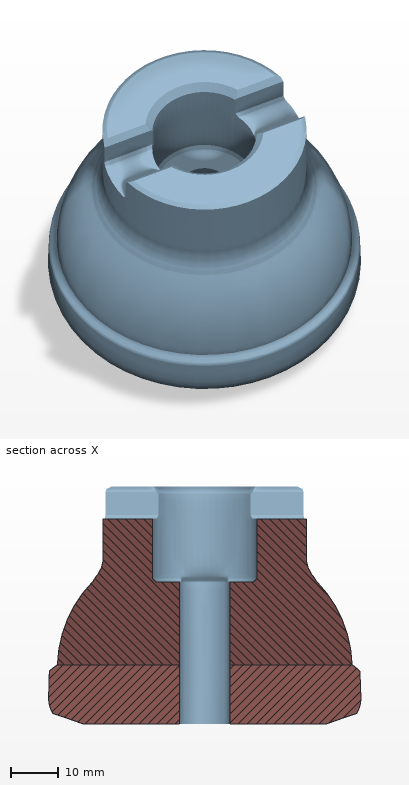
import cadquery as cq
import math

height = 50.0
split_z = 12.5

ring_radius = 33.0
ring_widest_z = 5.5
ring_bottom_radius = 25.7
ring_edge_radius = 32.1
ring_edge_z = 2.2
ring_round_mid_radius = 32.75
ring_round_mid_z = 3.7
ring_shoulder_radius = 32.8
ring_shoulder_z = 11.2
ring_shoulder_fillet = 0.8

dome_base_radius = 31.15
dome_mid_radius = 29.45
dome_mid_z = 21.0
dome_top_radius = 23.6
dome_top_z = 30.1
neck_radius = 43.0 / 2
neck_bottom_z = 35.0
neck_fillet = 6.0
neck_fillet_end_z = 31.0
rim_chamfer_width = 0.95
rim_chamfer_height = 0.5

bore_radius = 22.01 / 2
bore_depth = 20.0
bore_mouth_chamfer = 1.5
bore_floor_chamfer = 0.65
screw_hole_radius = 10.5 / 2

slot_width = 10.4
slot_depth = 6.7
slot_mouth_chamfer = 1.2
slot_floor_chamfer = 0.65


def revolve_about_z(profile):
    """Turn a closed (radius, height) profile once around the Z axis."""
    return profile.close().revolve(360, (0, 0, 0), (0, 1, 0))


def screw_hole():
    return cq.Workplane("XY").circle(screw_hole_radius).extrude(height)


def make_cutting_ring():
    blank = revolve_about_z(
        cq.Workplane("XZ")
        .moveTo(0, 0)
        .lineTo(ring_bottom_radius, 0)
        .lineTo(ring_edge_radius, ring_edge_z)
        .threePointArc((ring_round_mid_radius, ring_round_mid_z), (ring_radius, ring_widest_z))
        .lineTo(ring_shoulder_radius, ring_shoulder_z)
        .lineTo(dome_base_radius, split_z)
        .lineTo(0, split_z)
    )
    shoulder_edge = cq.selectors.NearestToPointSelector((0, 0, ring_shoulder_z))
    rounded = blank.edges(shoulder_edge).fillet(ring_shoulder_fillet)
    return rounded.cut(screw_hole())


def make_holder_blank():
    """Dome, flared neck and chamfered rim as one turned shape."""
    sweep = math.asin((neck_bottom_z - neck_fillet_end_z) / neck_fillet)

    def neck_fillet_point(angle):
        return (
            neck_radius + neck_fillet * (1 - math.cos(angle)),
            neck_bottom_z - neck_fillet * math.sin(angle),
        )

    return revolve_about_z(
        cq.Workplane("XZ")
        .moveTo(0, split_z)
        .lineTo(dome_base_radius, split_z)
        .threePointArc((dome_mid_radius, dome_mid_z), (dome_top_radius, dome_top_z))
        .lineTo(*neck_fillet_point(sweep))
        .threePointArc(neck_fillet_point(sweep / 2), (neck_radius, neck_bottom_z))
        .lineTo(neck_radius, height - rim_chamfer_height)
        .lineTo(neck_radius - rim_chamfer_width, height)
        .lineTo(0, height)
    )


def make_bore():
    """Arbor bore with a chamfered mouth and a chamfered floor corner."""
    floor_z = height - bore_depth
    return revolve_about_z(
        cq.Workplane("XZ")
        .moveTo(0, floor_z)
        .lineTo(bore_radius - bore_floor_chamfer, floor_z)
        .lineTo(bore_radius, floor_z + bore_floor_chamfer)
        .lineTo(bore_radius, height - bore_mouth_chamfer)
        .lineTo(bore_radius + bore_mouth_chamfer, height)
        .lineTo(0, height)
    )


def make_drive_slot():
    """Slot across the top face, chamfered at its mouth and floor corners."""
    half_width = slot_width / 2
    floor_z = height - slot_depth
    right_side = [
        (half_width - slot_floor_chamfer, floor_z),
        (half_width, floor_z + slot_floor_chamfer),
        (half_width, height - slot_mouth_chamfer),
        (half_width + slot_mouth_chamfer, height),
    ]
    left_side = [(-x, z) for x, z in reversed(right_side)]
    return cq.Workplane("XZ").polyline(right_side + left_side).close().extrude(neck_radius * 2, both=True)


cutting_ring = make_cutting_ring()
holder = make_holder_blank().cut(make_bore()).cut(make_drive_slot()).cut(screw_hole())

result = cq.Compound.makeCompound([cutting_ring.val(), holder.val()])